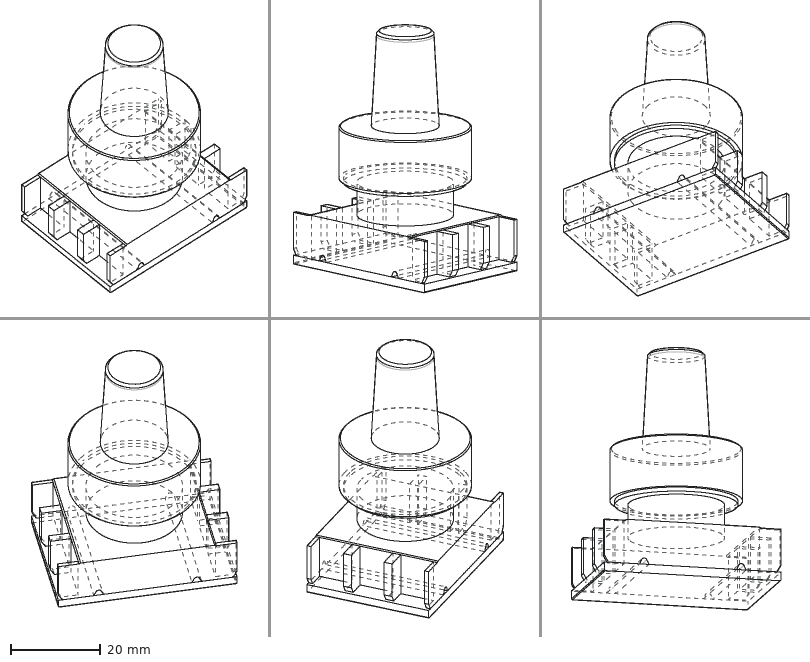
import cadquery as cq

WIDTH = 30.0
DEPTH = 41.0
HEIGHT = 54.65

PLATE_HEIGHT = 2.0
PLATE_EDGE_CHAMFER = 0.2

BLOCK_TOP = 12.15
CORE_DEPTH = 31.5
CORE_CHAMFER_WIDTH = 0.4
CORE_CHAMFER_HEIGHT = 0.2
RIB_TOP = BLOCK_TOP - CORE_CHAMFER_HEIGHT
POLES = 3
POLE_PITCH = 10.0
RIB_WIDTH = 1.95
CHANNEL_WIDTH = POLE_PITCH - RIB_WIDTH
CHANNEL_DEPTH = (DEPTH - CORE_DEPTH) / 2
FOOT_CHAMFER_WIDTH = 0.95
FOOT_CHAMFER_HEIGHT = 1.6

GROOVE_OFFSET = 11.25
GROOVE_BASE_WIDTH = 2.2
GROOVE_HEIGHT = 1.4
GROOVE_SHOULDER_WIDTH = 1.2
GROOVE_SHOULDER_HEIGHT = 1.05

NECK_RADIUS = 10.9
FLANGE_RADIUS = 13.9
FLANGE_BOTTOM = 19.7
COLLAR_RADIUS = 14.9
COLLAR_BOTTOM = 20.6
COLLAR_TOP = 32.7
COLLAR_CHAMFER = 0.35
GRIP_BASE_RADIUS = 7.65
GRIP_TIP_RADIUS = 6.5
GRIP_CHAMFER = 0.6
GRIP_LAND = 0.55


def make_plate():
    """Rectangular plate with its two lower end edges chamfered."""
    plate = cq.Workplane("XY").box(WIDTH, DEPTH, PLATE_HEIGHT, centered=(True, True, False))
    return plate.faces("<Z").edges("|X").chamfer(PLATE_EDGE_CHAMFER)


def block_outline():
    """Side outline of the block in Y and Z, extruded along X."""
    end = DEPTH / 2
    core_end = CORE_DEPTH / 2
    core_top_end = core_end - CORE_CHAMFER_WIDTH
    foot_end = end - FOOT_CHAMFER_WIDTH
    foot_top = PLATE_HEIGHT + FOOT_CHAMFER_HEIGHT
    half = [
        (foot_end, PLATE_HEIGHT),
        (end, foot_top),
        (end, RIB_TOP),
        (core_end, RIB_TOP),
        (core_top_end, BLOCK_TOP),
    ]
    mirrored = [(-y, z) for y, z in reversed(half)]
    return cq.Workplane("YZ").polyline(half + mirrored).close().extrude(WIDTH / 2, both=True)


def terminal_channel(x, side):
    """Open channel between two ribs at one end of the block."""
    y = side * (CORE_DEPTH + CHANNEL_DEPTH) / 2
    return (
        cq.Workplane("XY", origin=(x, y, PLATE_HEIGHT))
        .rect(CHANNEL_WIDTH, CHANNEL_DEPTH)
        .extrude(BLOCK_TOP - PLATE_HEIGHT)
    )


def groove(y):
    """Round-topped groove running through the block along X."""
    base = GROOVE_BASE_WIDTH / 2
    shoulder = GROOVE_SHOULDER_WIDTH / 2
    return (
        cq.Workplane("YZ", origin=(0, y, PLATE_HEIGHT))
        .moveTo(-base, 0)
        .lineTo(-shoulder, GROOVE_SHOULDER_HEIGHT)
        .threePointArc((0, GROOVE_HEIGHT), (shoulder, GROOVE_SHOULDER_HEIGHT))
        .lineTo(base, 0)
        .close()
        .extrude(WIDTH / 2, both=True)
    )


def make_block():
    """Contact block with terminal channels at both ends and two grooves below."""
    block = block_outline()
    for side in (-1, 1):
        for pole in range(POLES):
            x = (pole - (POLES - 1) / 2) * POLE_PITCH
            block = block.cut(terminal_channel(x, side))
        block = block.cut(groove(side * GROOVE_OFFSET))
    return block


def make_operator():
    """Neck, flange, collar and tapered grip as one turned piece."""
    profile = [
        (0, BLOCK_TOP),
        (NECK_RADIUS, BLOCK_TOP),
        (NECK_RADIUS, FLANGE_BOTTOM),
        (FLANGE_RADIUS, FLANGE_BOTTOM),
        (FLANGE_RADIUS, COLLAR_BOTTOM),
        (COLLAR_RADIUS, COLLAR_BOTTOM),
        (COLLAR_RADIUS, COLLAR_TOP - COLLAR_CHAMFER),
        (COLLAR_RADIUS - COLLAR_CHAMFER, COLLAR_TOP),
        (GRIP_BASE_RADIUS, COLLAR_TOP),
        (GRIP_TIP_RADIUS, HEIGHT - GRIP_CHAMFER - GRIP_LAND),
        (GRIP_TIP_RADIUS, HEIGHT - GRIP_CHAMFER),
        (GRIP_TIP_RADIUS - GRIP_CHAMFER, HEIGHT),
        (0, HEIGHT),
    ]
    front_half = [(-radius, z) for radius, z in profile]
    return cq.Workplane("YZ").polyline(front_half).close().revolve(360, (0, 0, 0), (0, 1, 0))


plate = make_plate()
block = make_block()
operator = make_operator()

result = cq.Compound.makeCompound([plate.val(), block.val(), operator.val()])